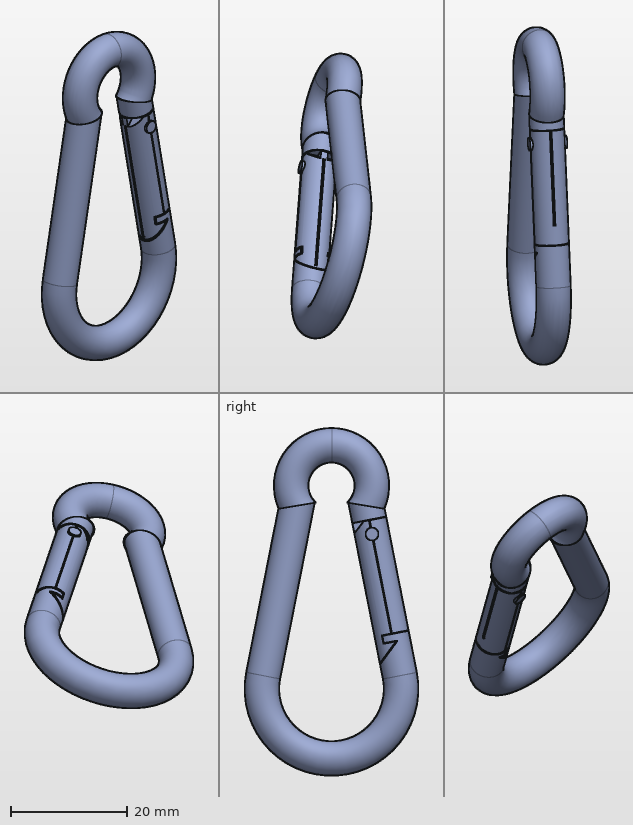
import cadquery as cq
import math

length = 59.9
width = 29.95
wire_diameter = 6.0
pin_diameter = 2.2
pin_length = 6.5
eye_outer_radius = 9.95
eye_end_angle = 30.0

pin_height = 24.8
gate_top = 27.25
outer_slit_bottom = 10.8
inner_slit_bottom = 3.3
side_slit_bottom = 7.3
notch_start = 0.95
notch_depth = 1.8
tongue_thickness = 1.2
hinge_tab_reach = 1.7
hinge_tab_bottom = 5.9
hinge_corner = -0.65
hinge_inner_bottom = 2.6

slit_depth = 0.9
side_slit_width = 0.2
centre_slit_width = 0.35
seam_width = 0.1
seam_depth = 0.2

wire_radius = wire_diameter / 2
bend_radius = width / 2 - wire_radius
eye_radius = eye_outer_radius - wire_radius
eye_height = length - width / 2 - eye_outer_radius
end_angle = math.radians(eye_end_angle)
joint_y = eye_radius * math.cos(end_angle)
joint_z = eye_height - eye_radius * math.sin(end_angle)

joint_distance = math.hypot(joint_y, joint_z)
leg_angle = math.atan2(joint_z, joint_y) - math.acos(bend_radius / joint_distance)
leg_length = math.sqrt(joint_distance**2 - bend_radius**2)
foot_y = bend_radius * math.cos(leg_angle)
foot_z = bend_radius * math.sin(leg_angle)
mitre_angle = (end_angle - leg_angle) / 2

leg_plane = cq.Plane(
    origin=(0, foot_y, foot_z),
    xDir=(0, -math.cos(leg_angle), -math.sin(leg_angle)),
    normal=(-1, 0, 0),
)


def torus(radius, height):
    solid = cq.Solid.makeTorus(radius, wire_radius, cq.Vector(0, 0, height), cq.Vector(1, 0, 0))
    return cq.Workplane(obj=solid)


def space_above(y, z, slope):
    """Block above a symmetric roof line through (+-y, z) that falls outwards at the slope angle."""
    apex_z = z + y * math.tan(slope)
    far_z = apex_z - width * math.tan(slope)
    top = 2 * length
    points = [(-width, far_z), (0, apex_z), (width, far_z), (width, top), (-width, top)]
    return cq.Workplane("YZ").polyline(points).close().extrude(wire_diameter, both=True)


def leg_rod(start, end):
    rod = cq.Solid.makeCylinder(
        wire_radius,
        end - start,
        leg_plane.toWorldCoords((0, start, 0)),
        leg_plane.yDir,
    )
    return cq.Workplane(obj=rod)


def make_loop():
    above_mitre = space_above(joint_y, joint_z, mitre_angle)
    above_bend = space_above(foot_y, foot_z, -leg_angle)
    eye = torus(eye_radius, eye_height).intersect(above_mitre)
    bend = torus(bend_radius, 0).cut(above_bend)
    leg = leg_rod(0, leg_length + wire_radius).cut(above_mitre)
    return bend.union(leg).union(leg.mirror("XZ")).union(eye)


def gate_prism(points, thickness=wire_diameter):
    """Prism across the gate leg, centred on the loop plane."""
    return cq.Workplane(leg_plane).polyline(points).close().extrude(thickness / 2, both=True)


def gate_box(x_min, x_max, y_min, y_max, thickness=wire_diameter):
    return gate_prism([(x_min, y_min), (x_max, y_min), (x_max, y_max), (x_min, y_max)], thickness)


def surface_layer(depth):
    """Outer layer of the gate leg, used to limit the depth of grooves."""
    core = cq.Solid.makeCylinder(
        wire_radius - depth, leg_length, leg_plane.origin, leg_plane.yDir
    )
    return leg_rod(0, leg_length).cut(cq.Workplane(obj=core))


def make_slits():
    half = side_slit_width / 2
    slits = gate_box(-half, half, side_slit_bottom, gate_top)
    slits = slits.union(gate_box(-wire_radius, 0, outer_slit_bottom, gate_top, centre_slit_width))
    slits = slits.union(
        gate_box(0, wire_radius, inner_slit_bottom, gate_top - notch_depth, centre_slit_width)
    )
    return slits.intersect(surface_layer(slit_depth))


def make_seams():
    """Parting grooves between the gate and the fixed ends of the leg."""
    hinge_line = [
        (-wire_radius, side_slit_bottom),
        (hinge_tab_reach, side_slit_bottom),
        (hinge_tab_reach, hinge_tab_bottom),
        (hinge_corner, hinge_tab_bottom),
        (wire_radius, hinge_inner_bottom),
    ]
    hinge = (
        cq.Workplane(leg_plane)
        .polyline(hinge_line)
        .offset2D(seam_width / 2)
        .extrude(wire_radius, both=True)
    )
    top = gate_box(-wire_radius, wire_radius, gate_top - seam_width / 2, gate_top + seam_width / 2)
    return hinge.union(top).intersect(surface_layer(seam_depth))


def make_latch_notch():
    """Sloping notch on both sides of the central latch tongue."""
    triangle = [
        (notch_start, gate_top),
        (wire_radius, gate_top),
        (wire_radius, gate_top - notch_depth),
    ]
    tongue = gate_prism(triangle, tongue_thickness)
    return gate_prism(triangle).cut(tongue)


def make_pin():
    return (
        cq.Workplane(leg_plane)
        .center(0, pin_height)
        .circle(pin_diameter / 2)
        .extrude(pin_length / 2, both=True)
    )


result = make_loop().cut(make_slits()).cut(make_seams()).cut(make_latch_notch()).union(make_pin())